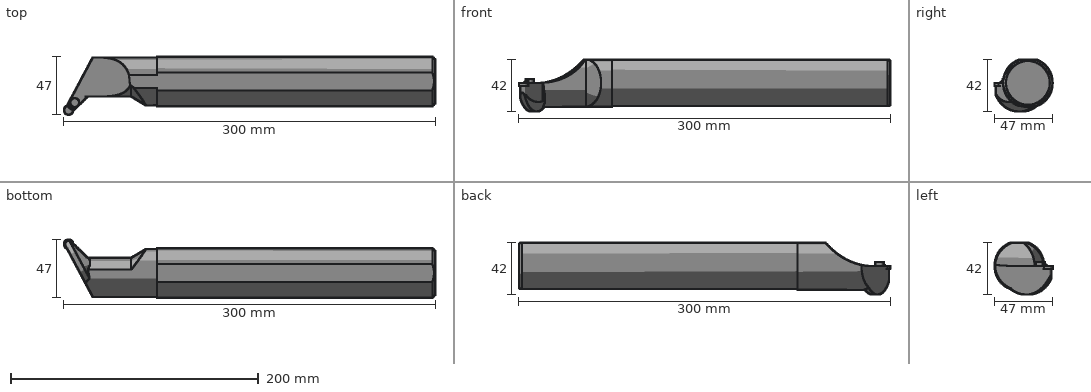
import cadquery as cq
import math

LENGTH = 300.0
WIDTH = 47.0
SHANK_RADIUS = 20.0
NECK_RADIUS = 19.5
FLAT_HEIGHT = 18.75
NECK_END = 75.0
END_CHAMFER = 2.5
CLEARANCE = 120.0

RELIEF_DEPTH_Y = -12.3
RELIEF_RADIUS = 24.3
RELIEF_START = 54.3
RELIEF_END = 68.5
RELIEF_RISE = 8.5
RELIEF_AXIS_Y = RELIEF_DEPTH_Y + RELIEF_RADIUS

CHIP_RADIUS = 45.0
CHIP_START = 16.2
CHIP_SKEW = 6.0

INSERT_RADIUS = 3.75
INSERT_X = INSERT_RADIUS
INSERT_Y = SHANK_RADIUS - WIDTH + INSERT_RADIUS
INSERT_THICKNESS = 2.7
BOSS_X = 8.7
BOSS_Y = -17.0
BOSS_RADIUS = 3.5
BOSS_HEIGHT = 3.3
RAMP_WIDTH = 3.0
RAMP_HEIGHT = 1.5

TIP_RADIUS = 2.85
FRONT_ANGLE = 62.0
BACK_ANGLE = 44.0
BLADE_BACK_X = 21.0
HEEL_RADIUS = 23.25
HEEL_CENTRE_Y = -5.0
HEEL_LAND = 4.8
HEEL_TAPER_LENGTH = 7.2
HEEL_END_RADIUS = 14.0


def along(point, angle, distance):
    """Return the plan point at a distance from another in a given direction."""
    turn = math.radians(angle)
    return (point[0] + distance * math.cos(turn), point[1] + distance * math.sin(turn))


def point_at_y(start, angle, y):
    """Return the plan point where a slanted line reaches the given Y."""
    return along(start, angle, (y - start[1]) / math.sin(math.radians(angle)))


tip_centre = (INSERT_X, INSERT_Y)
front_tangent = along(tip_centre, FRONT_ANGLE + 90, TIP_RADIUS)
back_tangent = along(tip_centre, BACK_ANGLE - 90, TIP_RADIUS)
tip_end = along(tip_centre, (FRONT_ANGLE + BACK_ANGLE) / 2 + 180, TIP_RADIUS)
back_corner = point_at_y(back_tangent, BACK_ANGLE, RELIEF_DEPTH_Y)
front_corner = point_at_y(front_tangent, FRONT_ANGLE, SHANK_RADIUS)


def plan_prism():
    """Tall prism bounded by the front face, rounded tip and back face."""
    return (
        cq.Workplane("XY").workplane(offset=-CLEARANCE / 2)
        .moveTo(*front_corner)
        .lineTo(*front_tangent)
        .threePointArc(tip_end, back_tangent)
        .lineTo(*back_corner)
        .lineTo(BLADE_BACK_X, RELIEF_DEPTH_Y)
        .lineTo(BLADE_BACK_X, SHANK_RADIUS)
        .close()
        .extrude(CLEARANCE)
    )


def make_shank():
    shank = (
        cq.Workplane("YZ").workplane(offset=NECK_END)
        .circle(SHANK_RADIUS).extrude(LENGTH - NECK_END)
        .faces(">X").chamfer(END_CHAMFER)
    )
    flats = cq.Workplane("XY").box(2 * LENGTH, CLEARANCE, 2 * FLAT_HEIGHT)
    return shank.intersect(flats)


def make_relief():
    """Everything outside an offset cylinder that flares towards the shank."""
    keep = (
        cq.Workplane("XY")
        .moveTo(0, 0)
        .lineTo(0, RELIEF_RADIUS)
        .lineTo(RELIEF_START, RELIEF_RADIUS)
        .lineTo(RELIEF_END, RELIEF_RADIUS + RELIEF_RISE)
        .lineTo(RELIEF_END, 0)
        .close()
        .revolve(360, (0, 0), (1, 0))
        .translate((0, RELIEF_AXIS_Y, 0))
    )
    block = cq.Workplane("XY").box(
        RELIEF_END, CLEARANCE, CLEARANCE, centered=(False, False, True)
    ).translate((0, RELIEF_AXIS_Y - CLEARANCE, 0))
    return block.cut(keep)


def make_neck():
    neck = cq.Workplane("YZ").circle(NECK_RADIUS).extrude(NECK_END)
    nose_limit = (
        cq.Workplane("XY").workplane(offset=-CLEARANCE / 2)
        .polyline([
            point_at_y(front_tangent, FRONT_ANGLE, -CLEARANCE),
            front_corner,
            (-CLEARANCE, SHANK_RADIUS),
            (-CLEARANCE, -CLEARANCE),
        ])
        .close().extrude(CLEARANCE)
    )
    flat = cq.Workplane("XY").box(
        NECK_END, CLEARANCE, CLEARANCE, centered=(False, True, False)
    ).translate((0, 0, FLAT_HEIGHT))
    blade_gap = (
        cq.Workplane("XY").box(back_corner[0], CLEARANCE, CLEARANCE, centered=(False, True, True))
        .cut(plan_prism())
    )
    return neck.cut(nose_limit).cut(make_relief()).cut(flat).cut(blade_gap)


def make_blade():
    """Blade with a round heel that tapers away behind the front face."""
    centre = point_at_y(front_tangent, FRONT_ANGLE, HEEL_CENTRE_Y)
    normal = along((0, 0), FRONT_ANGLE - 90, 1)
    land_end = along(centre, FRONT_ANGLE - 90, HEEL_LAND)
    land = cq.Solid.makeCylinder(
        HEEL_RADIUS, HEEL_LAND, cq.Vector(*centre, 0), cq.Vector(*normal, 0))
    taper = cq.Solid.makeCone(
        HEEL_RADIUS, HEEL_END_RADIUS, HEEL_TAPER_LENGTH, cq.Vector(*land_end, 0), cq.Vector(*normal, 0))
    heel = cq.Workplane(land).union(cq.Workplane(taper))
    lower_half = cq.Workplane("XY").box(
        CLEARANCE, CLEARANCE, CLEARANCE, centered=(True, True, False)
    ).translate((0, 0, -CLEARANCE))
    return heel.intersect(plan_prism()).intersect(lower_half)


def make_chip_clearance():
    """Flat top of the nose, sweeping up in an arc to the shank flat."""
    start = (CHIP_START, 0)
    end = (CHIP_START + CHIP_RADIUS, CHIP_RADIUS)
    middle = along((CHIP_START, CHIP_RADIUS), -45, CHIP_RADIUS)
    return (
        cq.Workplane("XZ").workplane(offset=-CLEARANCE / 2)
        .moveTo(-CLEARANCE, 0)
        .lineTo(*start)
        .threePointArc(middle, end)
        .lineTo(-CLEARANCE, CHIP_RADIUS)
        .close().extrude(CLEARANCE)
        .rotate((0, 0, 0), (0, 0, 1), CHIP_SKEW)
    )


def make_insert():
    """Round cutting disc joined by a ramp to the raised round boss behind it."""
    disc = cq.Workplane("XY").center(*tip_centre).circle(INSERT_RADIUS).extrude(-INSERT_THICKNESS)
    boss = cq.Workplane("XY").center(BOSS_X, BOSS_Y).circle(BOSS_RADIUS).extrude(BOSS_HEIGHT)
    spacing = math.hypot(BOSS_X - INSERT_X, BOSS_Y - INSERT_Y)
    ramp_angle = math.degrees(math.atan2(BOSS_Y - INSERT_Y, BOSS_X - INSERT_X))
    ramp = (
        cq.Workplane("XZ").workplane(offset=-RAMP_WIDTH / 2)
        .polyline([(INSERT_RADIUS / 2, 0), (spacing, 0), (spacing, RAMP_HEIGHT),
                   (spacing - BOSS_RADIUS, RAMP_HEIGHT)])
        .close().extrude(RAMP_WIDTH)
        .rotate((0, 0, 0), (0, 0, 1), ramp_angle)
        .translate((INSERT_X, INSERT_Y, 0))
    )
    return disc.union(boss).union(ramp)


insert = make_insert()
holder = make_shank().union(make_neck()).union(make_blade())
holder = holder.cut(make_chip_clearance()).cut(insert)

result = cq.Compound.makeCompound([*holder.solids().vals(), *insert.solids().vals()])